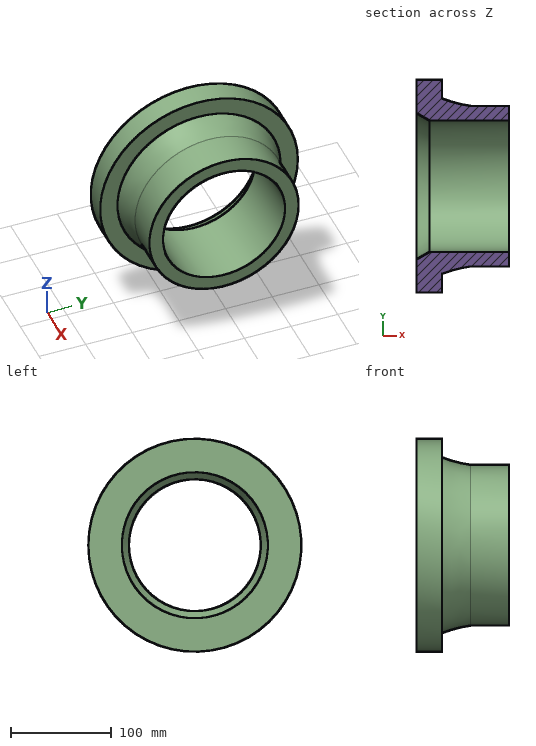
import cadquery as cq

total_length = 92.0
flange_thickness = 25.5
hub_length = 38.2

flange_diameter = 212.0
neck_root_diameter = 175.0
hub_diameter = 160.0
bore_diameter = 130.8
bore_mouth_diameter = 145.2

neck_radius = 127.2

mouth_depth = 12.7

hub_start = total_length - hub_length
hub_radius = hub_diameter / 2


def make_body():
    """Flange, concave neck and cylindrical hub, revolved about X."""
    profile = (
        cq.Workplane("XY")
        .moveTo(total_length, 0)
        .lineTo(total_length, hub_radius)
        .lineTo(hub_start, hub_radius)
        .radiusArc((flange_thickness, neck_root_diameter / 2), neck_radius)
        .lineTo(flange_thickness, flange_diameter / 2)
        .lineTo(0, flange_diameter / 2)
        .lineTo(0, 0)
        .close()
    )
    return profile.revolve(360, (0, 0, 0), (1, 0, 0))


def make_bore():
    """Through bore with a conical mouth at the flange face."""
    profile = (
        cq.Workplane("XY")
        .lineTo(0, bore_mouth_diameter / 2)
        .lineTo(mouth_depth, bore_diameter / 2)
        .lineTo(total_length, bore_diameter / 2)
        .lineTo(total_length, 0)
        .close()
    )
    return profile.revolve(360, (0, 0, 0), (1, 0, 0))


result = make_body().cut(make_bore())